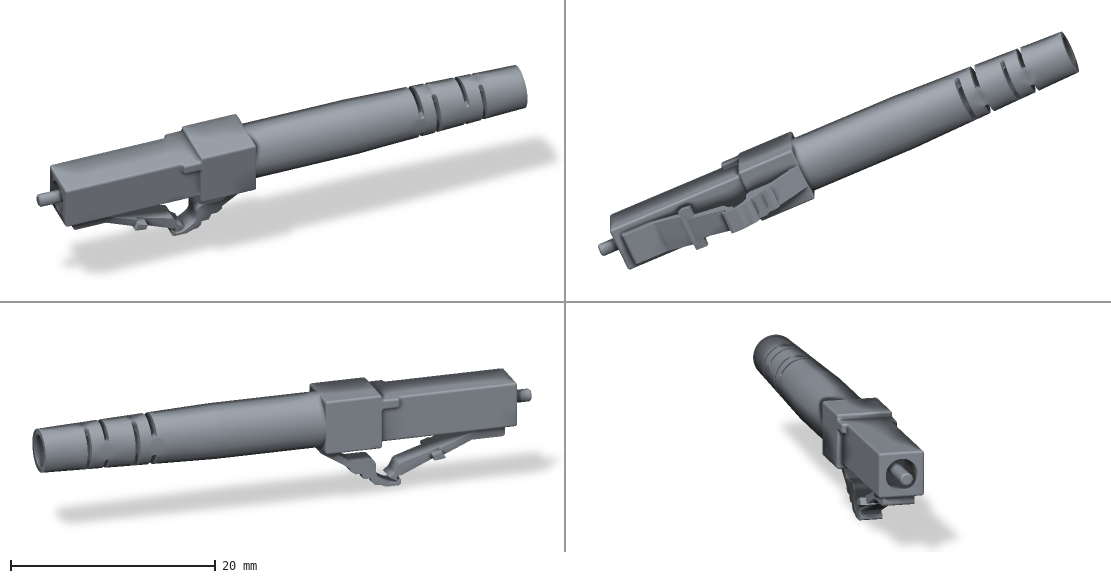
import cadquery as cq


block_width = 5.6
block_height = 5.55
block_length = 5.8
plug_width = 4.6
plug_height = 4.55
plug_front = -19.85
wing_length = 1.8
wing_bottom = 1.25
barrel_diameter = 5.5
barrel_length = 9.25
edge_radius = 0.245

cavity_radius = 1.6
cavity_depth = 5.05
ferrule_diameter = 1.25
ferrule_stickout = 2.0
ferrule_seat = 1.5
ferrule_chamfer = 0.15

latch_root_width = 3.2
latch_arm_width = 2.3
ear_span = 4.4
trigger_width = 2.3
trigger_drop = 4.7
latch_nose_radius = 0.3
narrow_start = -12.05

collar_length = 1.7
boot_end_radius = 2.15
boot_end = 28.65
boot_bore_radius = 1.6
web_half_width = 0.85
slot_pairs = [
    (17.55, 0.55, "Z"),
    (19.25, 0.5, "X"),
    (22.35, 0.45, "Z"),
    (24.15, 0.45, "X"),
]

barrel_radius = barrel_diameter / 2
ferrule_radius = ferrule_diameter / 2
block_front = -block_length
wing_front = block_front - wing_length
collar_end = barrel_length + collar_length
block_bottom = -block_height / 2
trigger_bottom = block_bottom - trigger_drop
plug_bottom = -plug_height / 2
cavity_floor = plug_front + cavity_depth
ferrule_rear = cavity_floor + ferrule_seat
embed = 0.5


def y_box(width, bottom, top, front, rear):
    """Box centred on X between two heights and two places along Y."""
    return (
        cq.Workplane("XY")
        .box(width, rear - front, top - bottom, centered=(True, False, False))
        .translate((0, front, bottom))
    )


def y_cylinder(radius, front, rear):
    """Cylinder on the connector axis between two places along Y."""
    return cq.Workplane("XZ", origin=(0, rear, 0)).circle(radius).extrude(rear - front)


def side_profile(start):
    """Begin a side outline of (Y, Z) points, to be extruded along X."""
    return cq.Workplane("YZ").moveTo(*start)


def make_shell():
    """Block, wings and plug, with every edge and every step between them rounded."""
    overlap_rear = -block_length / 2
    block = y_box(block_width, block_bottom, -block_bottom, block_front, 0)
    plug = y_box(plug_width, plug_bottom, -plug_bottom, plug_front, overlap_rear)
    wings = y_box(block_width, wing_bottom, -plug_bottom, wing_front, overlap_rear)
    return block.union(plug).union(wings).edges().fillet(edge_radius)


def make_latch():
    """Arm hanging from the plug: wide root, narrow hooked end and a cross ear."""
    outline = (
        side_profile((-18.8, plug_bottom + embed))
        .lineTo(-18.8, -3.4)
        .lineTo(-15.35, -3.4)
        .lineTo(-8.35, -6.4)
        .lineTo(-7.85, -6.5)
        .lineTo(-7.85, -7.0)
        .lineTo(-7.1, -6.55)
        .lineTo(-7.65, -6.15)
        .lineTo(-7.95, -5.55)
        .threePointArc((-8.1, -5.3), (-8.4, -5.15))
        .lineTo(-11.15, -4.3)
        .lineTo(-15.7, -2.55)
        .lineTo(-16.3, plug_bottom)
        .lineTo(-16.3, plug_bottom + embed)
        .close()
    )
    arm = outline.extrude(latch_root_width / 2, both=True)
    nose = cq.selectors.NearestToPointSelector((0, -18.8, -3.4))
    arm = arm.edges(nose).fillet(latch_nose_radius)

    flank_width = (latch_root_width - latch_arm_width) / 2
    for side in (-1, 1):
        flank = y_box(flank_width, trigger_bottom, plug_bottom, narrow_start, 0)
        arm = arm.cut(flank.translate((side * (latch_arm_width + flank_width) / 2, 0, 0)))

    ear = (
        side_profile((-11.2, -4.4))
        .lineTo(-12.15, -4.1)
        .lineTo(-12.55, -4.75)
        .lineTo(-11.35, -4.9)
        .close()
        .extrude(ear_span / 2, both=True)
    )
    return arm.union(ear)


def make_trigger():
    """Springy trigger under the block: thumb bump, stepped grip and upturned lip."""
    return (
        side_profile((0, block_bottom + embed))
        .lineTo(0, -3.25)
        .lineTo(-3.05, -5.15)
        .lineTo(-3.05, -5.45)
        .lineTo(-3.55, -5.8)
        .lineTo(-4.15, -5.8)
        .lineTo(-4.4, -6.4)
        .lineTo(-5.15, -6.4)
        .threePointArc((-5.3, -6.95), (-5.65, -7.2))
        .lineTo(-6.1, -7.25)
        .lineTo(-6.7, trigger_bottom)
        .lineTo(-8.0, trigger_bottom)
        .lineTo(-8.25, -7.35)
        .lineTo(-8.25, -6.9)
        .lineTo(-7.85, -7.25)
        .lineTo(-7.2, -7.2)
        .threePointArc((-6.55, -6.9), (-6.0, -6.45))
        .threePointArc((-5.75, -6.15), (-5.65, -5.75))
        .lineTo(-5.65, -5.1)
        .tangentArcPoint((-5.0, -4.45), relative=False)
        .lineTo(-3.1, -4.45)
        .lineTo(-1.05, -3.15)
        .lineTo(-1.25, block_bottom)
        .lineTo(-1.25, block_bottom + embed)
        .close()
        .extrude(trigger_width / 2, both=True)
    )


def make_housing():
    """Block, plug, barrel, latch and trigger in one piece, bored for the ferrule."""
    barrel = y_cylinder(barrel_radius, -block_length / 2, barrel_length)
    housing = make_shell().union(barrel).union(make_latch()).union(make_trigger())
    cavity = y_cylinder(cavity_radius, plug_front, cavity_floor)
    seat = y_cylinder(ferrule_radius, plug_front, ferrule_rear)
    return housing.cut(cavity).cut(seat)


def make_ferrule():
    """Round pin with a chamfered tip, seated in the cavity floor."""
    pin = y_cylinder(ferrule_radius, plug_front - ferrule_stickout, ferrule_rear)
    return pin.faces("<Y").chamfer(ferrule_chamfer)


def make_slot(centre, width, side):
    """Round-bottomed slot cut through the boot from the given side, +X or +Z."""
    round_start = web_half_width + width / 2
    rear = centre + width / 2
    front = centre - width / 2
    slot = (
        cq.Workplane("YZ")
        .moveTo(front, barrel_diameter)
        .lineTo(front, round_start)
        .threePointArc((centre, web_half_width), (rear, round_start))
        .lineTo(rear, barrel_diameter)
        .close()
        .extrude(barrel_diameter, both=True)
    )
    if side == "X":
        slot = slot.rotate((0, 0, 0), (0, 1, 0), 90)
    return slot


def make_boot():
    """Hollow strain-relief boot: collar, taper and opposite slot pairs."""
    boot = (
        cq.Workplane("XY")
        .moveTo(boot_bore_radius, barrel_length)
        .lineTo(barrel_radius, barrel_length)
        .lineTo(barrel_radius, collar_end)
        .lineTo(boot_end_radius, boot_end)
        .lineTo(boot_bore_radius, boot_end)
        .close()
        .revolve(360, (0, 0, 0), (0, 1, 0))
    )
    for centre, width, side in slot_pairs:
        slot = make_slot(centre, width, side)
        boot = boot.cut(slot)
        boot = boot.cut(slot.rotate((0, 0, 0), (0, 1, 0), 180))
    return boot


housing = make_housing()
ferrule = make_ferrule()
boot = make_boot()

result = cq.Compound.makeCompound(
    [housing.solids().val(), ferrule.solids().val(), boot.solids().val()]
)